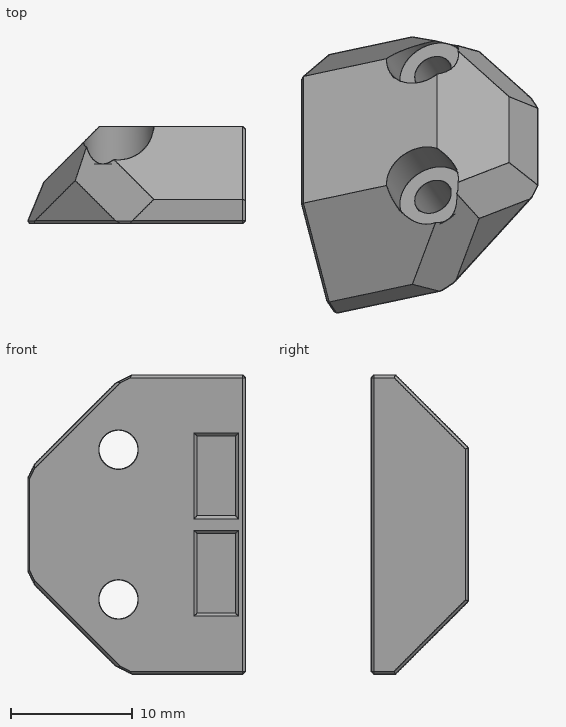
import cadquery as cq
import math

length = 17.9
depth = 8.0
height = 24.6
half_height = height / 2
edge_chamfer = 0.25

side_rim_depth = 2.0
back_start_x = 5.9
nose_rim_depth = 3.45
nose_lean = math.radians(22.5)
corner_cut = 7.9
corner_bevel = 2.0

hole_diameter = 3.2
counterbore_diameter = 5.8
counterbore_floor_y = 4.9
hole_x = 7.45
hole_z = half_height / 2

pocket_width = 3.15
pocket_height = 6.55
pocket_depth = 5.0
pocket_x = 15.48
pocket_z = 4.0
mouth_chamfer = 0.25

cutter_size = 4 * height


def cut_beyond(body, point, normal):
    """Remove everything on the outer side of the plane through point."""
    plane = cq.Plane(origin=point, normal=normal)
    cutter = cq.Workplane(plane).rect(cutter_size, cutter_size).extrude(cutter_size)
    return body.cut(cutter)


def make_shell():
    """Block with the nose, side, corner and bevel faces sliced off."""
    nose_rim_x = back_start_x - (depth - nose_rim_depth)
    nose_foot_x = -edge_chamfer * math.sin(nose_lean)
    nose_normal = (-math.cos(nose_lean), math.sin(nose_lean), 0)
    nose_point = (nose_foot_x, 0, 0)

    block = cq.Workplane("XY").center(nose_foot_x, 0)
    body = block.box(length - nose_foot_x, depth, height, centered=(False, False, True))
    body = cut_beyond(body, nose_point, nose_normal)
    body = cut_beyond(body, (nose_rim_x, nose_rim_depth, 0), (-1, 1, 0))

    corner_line = half_height - corner_cut
    nose_edge = (back_start_x, depth, back_start_x + corner_line)
    side_edge_z = half_height + side_rim_depth - depth
    side_edge = (side_edge_z - corner_line, depth, side_edge_z)
    bevel_drop = corner_bevel / 2

    for side in (1, -1):
        body = cut_beyond(body, (0, side_rim_depth, side * half_height), (0, 1, side))
        body = cut_beyond(body, (0, 0, side * corner_line), (-1, 0, side))
        for edge, normal in ((nose_edge, (-2, 1, 1)), (side_edge, (-1, 1, 2))):
            point = cq.Vector(*edge) - cq.Vector(*normal).normalized() * bevel_drop
            mirrored_point = (point.x, point.y, side * point.z)
            mirrored_normal = (normal[0], normal[1], side * normal[2])
            body = cut_beyond(body, mirrored_point, mirrored_normal)
    return body.faces("<Y or >X").edges().chamfer(edge_chamfer)


def cut_screw_hole(body, z):
    """Counterbored hole along Y, counterbore open to the back."""
    front = cq.Workplane("XZ").center(hole_x, z)
    body = body.cut(front.circle(hole_diameter / 2).extrude(-depth))
    counterbore = front.workplane(offset=-counterbore_floor_y).circle(counterbore_diameter / 2)
    return body.cut(counterbore.extrude(-depth))


def cut_pocket(body, z):
    """Blind rectangular pocket from the front face with a chamfered mouth."""
    front = cq.Workplane("XZ").center(pocket_x, z)
    body = body.cut(front.rect(pocket_width, pocket_height).extrude(-pocket_depth))
    mouth = front.rect(pocket_width + 2 * mouth_chamfer, pocket_height + 2 * mouth_chamfer)
    return body.cut(mouth.extrude(-mouth_chamfer, taper=45))


result = make_shell()
for side in (1, -1):
    result = cut_screw_hole(result, side * hole_z)
    result = cut_pocket(result, side * pocket_z)